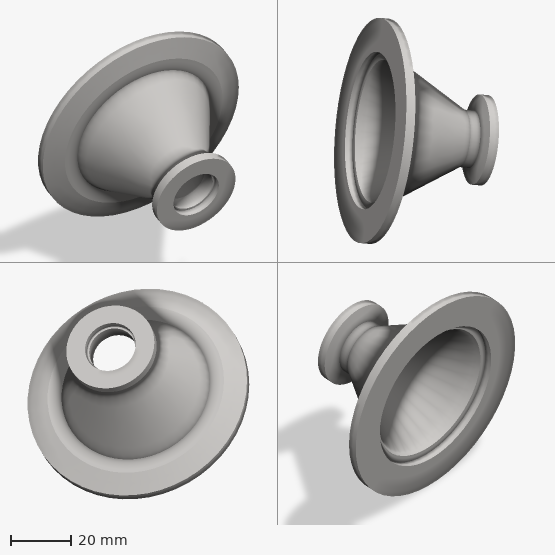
import cadquery as cq

length = 39.9

large_flange_radius = 74.9 / 2
large_rim_width = 3.15
large_flange_width = 5.2
large_bevel_radius = 30.1
large_recess_radius = 52.35 / 2

small_flange_radius = 30.0 / 2
small_rim_width = 3.15
small_flange_width = 4.65
small_recess_radius = 17.3 / 2

recess_depth = 2.6

cone_base_radius = 25.3
neck_radius = 19.1 / 2
neck_start = 31.8
bore_mouth_radius = 47.5 / 2
bore_radius = 15.7 / 2


def turned(points):
    """Revolve a closed (x, radius) outline around the X axis."""
    return cq.Workplane("XY").polyline(points).close().revolve(360, (0, 0, 0), (1, 0, 0))


body = turned([
    (0, 0),
    (0, large_flange_radius),
    (large_rim_width, large_flange_radius),
    (large_flange_width, large_bevel_radius),
    (large_flange_width, cone_base_radius),
    (neck_start, neck_radius),
    (length - small_flange_width, neck_radius),
    (length - small_rim_width, small_flange_radius),
    (length, small_flange_radius),
    (length, 0),
])

passage = turned([
    (0, 0),
    (0, large_recess_radius),
    (recess_depth, large_recess_radius),
    (recess_depth, bore_mouth_radius),
    (neck_start, bore_radius),
    (length - recess_depth, bore_radius),
    (length - recess_depth, small_recess_radius),
    (length, small_recess_radius),
    (length, 0),
])

result = body.cut(passage)